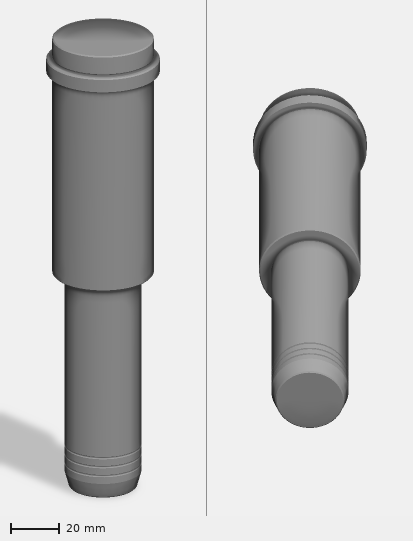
import cadquery as cq

total_length = 200.0
sleeve_bottom = 95.0
flange_bottom = 185.0
flange_top = 191.0

shaft_radius = 16.0
sleeve_radius = 21.0
flange_radius = 47.0 / 2
tip_radius = 14.2

tip_height = 7.0
sleeve_chamfer = 0.5
tip_chamfer = 0.5
flange_chamfer = 0.5
groove_radius = 0.5
groove_pitch = 4.0
first_groove_height = 10.0 + groove_radius
groove_count = 3


def cylinder(radius, bottom, top):
    """Solid cylinder on the Z axis between two heights."""
    return cq.Workplane("XY").workplane(offset=bottom).circle(radius).extrude(top - bottom)


def round_groove(radius, center_height):
    """Half-round ring groove to remove from a cylinder of the given radius."""
    return (
        cq.Workplane("XZ")
        .center(radius, center_height)
        .circle(groove_radius)
        .revolve(360, (-radius, 0, 0), (-radius, 1, 0))
    )


tip = (
    cq.Workplane("XZ")
    .lineTo(tip_radius - tip_chamfer, 0)
    .lineTo(tip_radius, tip_chamfer)
    .lineTo(shaft_radius, tip_height)
    .lineTo(0, tip_height)
    .close()
    .revolve(360, (0, 0, 0), (0, 1, 0))
)
shaft = tip.union(cylinder(shaft_radius, tip_height, sleeve_bottom))

for index in range(groove_count):
    groove_height = first_groove_height + index * groove_pitch
    shaft = shaft.cut(round_groove(shaft_radius, groove_height))

shaft = shaft.cut(round_groove(shaft_radius, sleeve_bottom - groove_radius))

sleeve = cylinder(sleeve_radius, sleeve_bottom, total_length).faces("<Z or >Z").chamfer(sleeve_chamfer)
for relief_height in (flange_bottom - groove_radius, flange_top + groove_radius):
    sleeve = sleeve.cut(round_groove(sleeve_radius, relief_height))

flange = cylinder(flange_radius, flange_bottom, flange_top).faces(">Z").chamfer(flange_chamfer)

result = shaft.union(sleeve).union(flange)